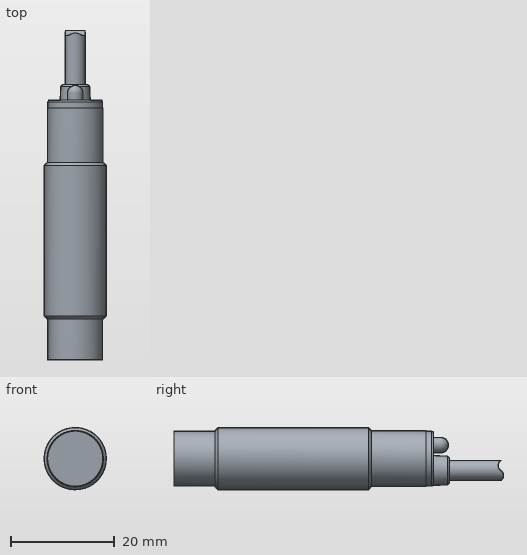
import cadquery as cq

total_length = 63.5

nose_radius = 10.6 / 2
barrel_radius = 12.0 / 2
rear_radius = 10.8 / 2
cap_radius = 10.6 / 2
barrel_start = 7.95
barrel_end = 38.05
barrel_chamfer = 0.6
cap_start = 48.5
cap_end = 50.05
cap_chamfer_length = 0.4
cap_chamfer_depth = 0.2

cable_offset = -2.3
cable_radius = 3.9 / 2
relief_base_radius = 5.85 / 2
relief_tip_radius = 5.6 / 2
relief_end = 53.1
relief_chamfer = 0.4
break_depth = 0.5

lamp_offset = 2.6
lamp_radius = 3.0 / 2
lamp_tip = 52.9


def turned(profile, offset=0.0):
    """Revolve (radius, Y) points about an axis along Y at height Z = offset."""
    outline = [(0, profile[0][1])] + profile + [(0, profile[-1][1])]
    solid = cq.Workplane("XY").polyline(outline).close().revolve(360, (0, 0, 0), (0, 1, 0))
    return solid.translate((0, 0, offset))


def make_body():
    return turned([
        (nose_radius, 0),
        (nose_radius, barrel_start),
        (barrel_radius - barrel_chamfer, barrel_start),
        (barrel_radius, barrel_start + barrel_chamfer),
        (barrel_radius, barrel_end - barrel_chamfer),
        (rear_radius, barrel_end),
        (rear_radius, cap_start),
        (cap_radius, cap_start),
        (cap_radius, cap_end - cap_chamfer_length),
        (cap_radius - cap_chamfer_depth, cap_end),
    ])


def make_strain_relief():
    """Slightly tapered sleeve, rooted inside the cap."""
    return turned([
        (relief_base_radius, cap_start),
        (relief_base_radius, cap_end),
        (relief_tip_radius, relief_end - relief_chamfer),
        (relief_tip_radius - relief_chamfer, relief_end),
    ], cable_offset)


def make_cable():
    """Cable whose free end is an S-shaped break: hollow above, bulging below."""
    break_y = total_length - break_depth
    top = cable_offset + cable_radius
    bottom = cable_offset - cable_radius
    upper_middle = cable_offset + cable_radius / 2
    lower_middle = cable_offset - cable_radius / 2
    broken_length = (
        cq.Workplane("YZ")
        .moveTo(cap_start, top)
        .lineTo(break_y, top)
        .threePointArc((break_y - break_depth, upper_middle), (break_y, cable_offset))
        .threePointArc((total_length, lower_middle), (break_y, bottom))
        .lineTo(cap_start, bottom)
        .close()
        .extrude(cable_radius * 2, both=True)
    )
    rod = turned([(cable_radius, cap_start), (cable_radius, total_length)], cable_offset)
    return rod.intersect(broken_length)


def make_lamp():
    dome_y = lamp_tip - lamp_radius
    dome = cq.Workplane("XY").sphere(lamp_radius).translate((0, dome_y, lamp_offset))
    stem = turned([(lamp_radius, cap_start), (lamp_radius, dome_y)], lamp_offset)
    return stem.union(dome)


result = make_body().union(make_strain_relief()).union(make_cable()).union(make_lamp())